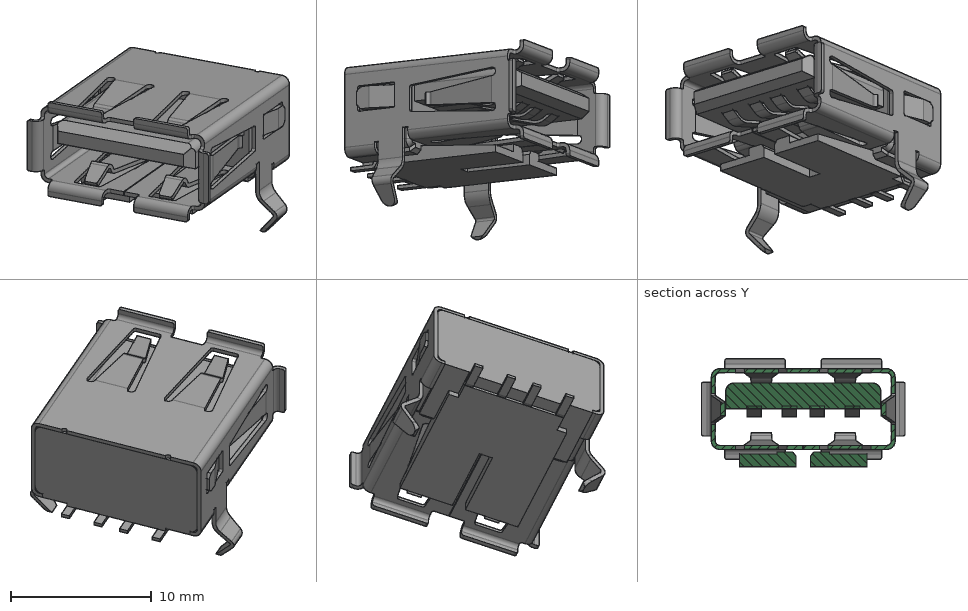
import cadquery as cq
import math

SHEET = 0.3
BEND_INNER = 0.31
BEND_OUTER = BEND_INNER + SHEET
SHELL_HALF = 6.55
SHELL_TOP = 7.0
SHELL_FRONT = 0.78
SHELL_REAR = 13.99
MOUTH_BOTTOM = 1.24
REAR_BOTTOM = 0.47
MOUTH_REAR = 8.87
MOUTH_MIDDLE = (SHELL_TOP + MOUTH_BOTTOM) / 2
SHELL_INNER_HALF = SHELL_HALF - SHEET

FLANGE_REACH = 0.7
FLANGE_CORNER = 0.17
FLANGE_GAP_HALF = 1.27
FLANGE_OUTER = 5.59
SIDE_FLANGE_WIDTH = 3.85
FLANGE_RELIEF = 0.2
FLANGE_RELIEF_CORNER = 0.19
FLOOR_SEAM = 0.06

LEG_FRONT = 9.3
LEG_REAR = 11.27
LEG_START = 1.25
REAR_CURL_FRONT = 11.57
FRONT_RELIEF_TOP = 2.09
LEG_MIDDLE = (LEG_FRONT + LEG_REAR) / 2
LEG_HALF = (LEG_REAR - LEG_FRONT) / 2
LEG_KNEE_Z = -0.53
LEG_ELBOW_X = 8.04
LEG_ELBOW_Z = -1.87
LEG_TIP_X = 6.53
LEG_TIP_Z = -3.56
LEG_TAPER_START = -0.72
LEG_TAPER_END = -3.06
LEG_TIP_HALF = 0.55
LEG_KNEE_RADIUS = 1.0
LEG_ELBOW_RADIUS = 0.15

SPRING_CORNER = 0.17
FACE_SPRING_X = 2.98
FACE_SPRING_ROOT = 7.75
FACE_SPRING_HALF = 1.25
FACE_SPRING_TAPER = 0.12
FACE_SPRING_ARM = 0.6
FACE_SLOT_LENGTH = 6.74
FACE_SPRING_BEND = (4.18, 0.36)
FACE_SPRING_PEAK = 4.55
FACE_SPRING_TIP = (6.01, 0.03)
FACE_SPRING_RADII = [0.15, 0.13]
ROOF_SPRING_DEPTH = 0.74
FLOOR_SPRING_DEPTH = 0.95
SIDE_SPRING_ROOT = 2.07
SIDE_SPRING_HALF = 0.97
SIDE_SPRING_TAPER = 0.094
SIDE_SPRING_ARM = 0.61
SIDE_SLOT_LENGTH = 6.64
SIDE_SPRING_PEAK = (5.35, 0.72)
SIDE_SPRING_TIP = (5.57, 0.5)
SIDE_SPRING_RADIUS = 0.08

WINDOW_FRONT = 9.94
WINDOW_REAR = 12.92
WINDOW_BOTTOM = 3.6
WINDOW_TOP = 5.45
WINDOW_CORNER = 0.14
ROOF_NOTCH_X = 4.0
ROOF_NOTCH_RADIUS = 0.19

BLOCK_HALF = SHELL_INNER_HALF
BLOCK_TOP = SHELL_TOP - SHEET
BLOCK_BOTTOM = REAR_BOTTOM + SHEET
BLOCK_CORNER = 0.55
BLOCK_CHAMFER = 0.31
STEP_HALF = 5.68
TONGUE_HALF = 5.53
TONGUE_BOTTOM = 4.13
TONGUE_TOP = 5.98
TONGUE_TIP = 0.49
TONGUE_NOSE = 0.88
TONGUE_CORNER = 0.63
NOSE_HALF = 5.02
NOSE_BOTTOM = 4.49
NOSE_TOP = 5.45
FOOT_HALF = 4.54
FOOT_CORE_HALF = 1.88
FOOT_FRONT = 2.84
FOOT_REAR = 11.92
FOOT_TOP = 1.07
FOOT_SIDE_FRONT_TOP = 0.52
FOOT_SLOT_HALF = 0.5
FOOT_SLOT_MOUTH_HALF = 0.75
FOOT_SLOT_MOUTH_BOTTOM = 0.77
FOOT_SLOT_REAR = 7.85
LATCH_BOTTOM = 3.72
LATCH_TOP = 5.32
LATCH_PEAK = 6.74
LATCH_ROOT = 5.97
LATCH_RAMP_FRONT = 10.11
LATCH_RAMP_REAR = 11.88
LATCH_CORNER = 0.31

CONTACT_X = [-3.5, -0.99, 0.99, 3.5]
CONTACT_WIDTH = 1.04
CONTACT_THICKNESS = 0.2
CONTACT_REAR = 9.73
CONTACT_SAG_START = 5.97
CONTACT_LOW_Y = 3.45
CONTACT_LOW_Z = 3.47
CONTACT_FRONT = 2.2
CONTACT_FRONT_Z = 4.25
CONTACT_RADII = [0.31, 1.02]
TAIL_WIDTH = 0.61
TAIL_THICKNESS = 0.25
TAIL_REAR = 15.0
TAIL_BEND_Y = 13.1
TAIL_INNER_Y = 12.48
TAIL_INNER_Z = 1.02
TAIL_BEND_RADIUS = 0.06


def block(x_range, y_range, z_range):
    """Box between two limits on each axis."""
    size = [limits[1] - limits[0] for limits in (x_range, y_range, z_range)]
    corner = (x_range[0], y_range[0], z_range[0])
    return cq.Workplane("XY").box(*size, centered=False).translate(corner)


def mirrored_pair(body):
    """A body together with its left-right mirror image."""
    return body.union(body.mirror("YZ"))


def placed(body, origin, along, normal):
    """Move a body so that its local Y points along `along` and its local Z along `normal`."""
    across = cq.Vector(*along).cross(cq.Vector(*normal))
    plane = cq.Plane(origin=origin, xDir=across, normal=normal)
    return cq.Workplane(body.val().moved(cq.Location(plane)))


def offset_path(path, distance):
    """Open path moved sideways to the left by `distance`, with mitred corners."""
    headings = [math.atan2(b[1] - a[1], b[0] - a[0]) for a, b in zip(path, path[1:])]
    moved = []
    for i, (u, v) in enumerate(path):
        before = headings[max(i - 1, 0)]
        after = headings[min(i, len(headings) - 1)]
        middle = (before + after) / 2
        reach = distance / math.cos((after - before) / 2)
        moved.append((u - reach * math.sin(middle), v + reach * math.cos(middle)))
    return moved


def bent_strip(plane, path, thickness, width, inner_radii):
    """Sheet strip centred on `plane`; thickness lies left of the path, or right if negative."""
    far_path = offset_path(path, thickness)
    strip = plane.polyline(path + far_path[::-1]).close().extrude(width / 2, both=True)
    for i, radius in enumerate(inner_radii, start=1):
        (u0, v0), (u1, v1), (u2, v2) = path[i - 1:i + 2]
        turn = (u1 - u0) * (v2 - v1) - (v1 - v0) * (u2 - u1)
        path_is_outside = turn * thickness > 0
        near_radius = radius + abs(thickness) if path_is_outside else radius
        far_radius = radius if path_is_outside else radius + abs(thickness)
        for corner, corner_radius in ((path[i], near_radius), (far_path[i], far_radius)):
            spot = plane.plane.toWorldCoords(corner).toTuple()
            strip = strip.edges(cq.selectors.NearestToPointSelector(spot)).fillet(corner_radius)
    return strip


def tube(bottom, y_start, y_end):
    """Rectangular sheet tube with rounded corners, running along Y."""
    length = y_end - y_start
    height = SHELL_TOP - bottom
    middle = (SHELL_TOP + bottom) / 2
    base = cq.Workplane("XZ", origin=(0, y_end, middle))
    outside = base.rect(2 * SHELL_HALF, height).extrude(length).edges("|Y").fillet(BEND_OUTER)
    inside = base.rect(2 * SHELL_INNER_HALF, height - 2 * SHEET).extrude(length)
    return outside.cut(inside.edges("|Y").fillet(BEND_INNER))


def spring_slot(root_half, taper, arm, length):
    """Cutter that frees a tapered spring; local Y runs from the root to the tip."""
    wide = root_half + arm
    narrow = wide - taper * length
    outline = [(-wide, 0), (-narrow, length), (narrow, length), (wide, 0)]
    depth = 2 * SHEET
    plane = cq.Workplane("XY", origin=(0, 0, -SHEET / 2))
    slot = plane.polyline(outline).close().extrude(depth)
    slot = slot.edges("|Z and >Y").fillet(SPRING_CORNER)
    arm_middle = root_half + arm / 2
    ends = plane.pushPoints([(-arm_middle, 0), (arm_middle, 0)]).circle(arm / 2).extrude(depth)
    return slot.union(ends)


def spring(root_half, taper, path, inner_radii):
    """Bent spring that leans inward along local Z and narrows toward its tip."""
    strip = bent_strip(cq.Workplane("YZ"), path, SHEET, 2 * root_half, inner_radii)
    limits = strip.val().BoundingBox()
    length = limits.ymax
    tip_half = root_half - taper * length
    outline = [(-root_half, 0), (-tip_half, length), (tip_half, length), (root_half, 0)]
    plan = cq.Workplane("XY").polyline(outline).close().extrude(limits.zmax)
    return strip.intersect(plan.edges("|Z and >Y").fillet(SPRING_CORNER))


def fit_spring(shell, slot, leaf, origin, along, inward):
    """Cut one slot in the shell and add its spring."""
    return shell.cut(placed(slot, origin, along, inward)).union(placed(leaf, origin, along, inward))


def add_face_springs(shell):
    """Two springs in the roof and two in the floor."""
    slot = spring_slot(FACE_SPRING_HALF, FACE_SPRING_TAPER, FACE_SPRING_ARM, FACE_SLOT_LENGTH)
    for z, inward, depth in ((SHELL_TOP, -1, ROOF_SPRING_DEPTH), (MOUTH_BOTTOM, 1, FLOOR_SPRING_DEPTH)):
        path = [(0, 0), FACE_SPRING_BEND, (FACE_SPRING_PEAK, depth), FACE_SPRING_TIP]
        leaf = spring(FACE_SPRING_HALF, FACE_SPRING_TAPER, path, FACE_SPRING_RADII)
        for x in (-FACE_SPRING_X, FACE_SPRING_X):
            origin = (x, FACE_SPRING_ROOT, z)
            shell = fit_spring(shell, slot, leaf, origin, (0, -1, 0), (0, 0, inward))
    return shell


def add_side_springs(shell):
    """One spring in each side wall."""
    slot = spring_slot(SIDE_SPRING_HALF, SIDE_SPRING_TAPER, SIDE_SPRING_ARM, SIDE_SLOT_LENGTH)
    path = [(0, 0), SIDE_SPRING_PEAK, SIDE_SPRING_TIP]
    leaf = spring(SIDE_SPRING_HALF, SIDE_SPRING_TAPER, path, [SIDE_SPRING_RADIUS])
    for side in (-1, 1):
        origin = (side * SHELL_HALF, SIDE_SPRING_ROOT, MOUTH_MIDDLE)
        shell = fit_spring(shell, slot, leaf, origin, (0, 1, 0), (-side, 0, 0))
    return shell


def flange(width):
    """Lip that runs forward along local Y, then turns outward along local Z."""
    path = [(0, 0), (SHELL_FRONT - SHEET, 0), (SHELL_FRONT - SHEET, FLANGE_REACH)]
    lip = bent_strip(cq.Workplane("YZ"), path, -SHEET, width, [BEND_INNER])
    return lip.faces(">Z").edges("|Y").fillet(FLANGE_CORNER)


def root_fillets(half_width):
    """Concave corner fills where the two ends of a flange row meet the shell box."""
    radius = SHELL_FRONT - BEND_OUTER
    fill = block((half_width, half_width + radius), (0, radius), (-SHEET, 0))
    round_cut = (
        cq.Workplane("XY", origin=(half_width + radius, radius, -SHEET)).circle(radius).extrude(SHEET)
    )
    return mirrored_pair(fill.cut(round_cut))


def add_flanges(shell):
    """Two flanges above and below the mouth, and one at each side."""
    forward = (0, -1, 0)
    lip = flange(FLANGE_OUTER - FLANGE_GAP_HALF)
    middle = (FLANGE_OUTER + FLANGE_GAP_HALF) / 2
    for x in (-middle, middle):
        shell = shell.union(placed(lip, (x, SHELL_FRONT, SHELL_TOP), forward, (0, 0, 1)))
        shell = shell.union(placed(lip, (x, SHELL_FRONT, MOUTH_BOTTOM), forward, (0, 0, -1)))
    fills = root_fillets(FLANGE_OUTER)
    for z, outward in ((SHELL_TOP, 1), (MOUTH_BOTTOM, -1)):
        shell = shell.union(placed(fills, (0, SHELL_FRONT, z), forward, (0, 0, outward)))
    lip = flange(SIDE_FLANGE_WIDTH).union(root_fillets(SIDE_FLANGE_WIDTH / 2))
    for side in (-1, 1):
        origin = (side * SHELL_HALF, SHELL_FRONT, MOUTH_MIDDLE)
        shell = shell.union(placed(lip, origin, forward, (side, 0, 0)))
    return shell


def leg():
    """Left snap-in leg: bent sheet with a tapered, round-ended outline."""
    path = [
        (-SHELL_HALF, LEG_START),
        (-SHELL_HALF, LEG_KNEE_Z),
        (-LEG_ELBOW_X, LEG_ELBOW_Z),
        (-LEG_TIP_X, LEG_TIP_Z),
    ]
    plane = cq.Workplane("XZ", origin=(0, LEG_MIDDLE, 0))
    strip = bent_strip(plane, path, SHEET, 2 * LEG_HALF, [LEG_KNEE_RADIUS, LEG_ELBOW_RADIUS])
    outline = (
        cq.Workplane("YZ", origin=(0, LEG_MIDDLE, 0))
        .moveTo(-LEG_HALF, LEG_START)
        .lineTo(-LEG_HALF, LEG_TAPER_START)
        .lineTo(-LEG_TIP_HALF, LEG_TAPER_END)
        .threePointArc((0, LEG_TIP_Z), (LEG_TIP_HALF, LEG_TAPER_END))
        .lineTo(LEG_HALF, LEG_TAPER_START)
        .lineTo(LEG_HALF, LEG_START)
        .close()
        .extrude(-2 * LEG_ELBOW_X)
    )
    return strip.intersect(outline)


def shell_box():
    """Plug cavity, open middle part behind it and rear part with curled lower edges."""
    across = (-SHELL_HALF, SHELL_HALF)
    cavity = tube(MOUTH_BOTTOM, SHELL_FRONT, MOUTH_REAR)
    middle = tube(-LEG_START, MOUTH_REAR, REAR_CURL_FRONT)
    middle = middle.cut(block(across, (MOUTH_REAR, REAR_CURL_FRONT), (-LEG_START, LEG_START)))
    middle = middle.cut(block(across, (MOUTH_REAR, LEG_FRONT), (LEG_START, FRONT_RELIEF_TOP)))
    rear = tube(REAR_BOTTOM, REAR_CURL_FRONT, SHELL_REAR)
    rear = rear.cut(block((-STEP_HALF, STEP_HALF), (REAR_CURL_FRONT, SHELL_REAR), (0, BLOCK_BOTTOM)))
    return cavity.union(middle).union(rear)


def shell_cutouts():
    """Flange gaps, floor seam, latch windows and small notches in the rear roof edge."""
    relief = (SHELL_FRONT, SHELL_FRONT + FLANGE_RELIEF)
    cutter = block((-FLANGE_GAP_HALF, FLANGE_GAP_HALF), relief, (0, SHELL_TOP))
    cutter = cutter.edges("|Z and >Y").fillet(FLANGE_RELIEF_CORNER)
    seam = (-FLOOR_SEAM / 2, FLOOR_SEAM / 2)
    cutter = cutter.union(block(seam, (SHELL_FRONT, MOUTH_REAR), (0, MOUTH_MIDDLE)))
    across = (-SHELL_HALF, SHELL_HALF)
    window = block(across, (WINDOW_FRONT, WINDOW_REAR), (WINDOW_BOTTOM, WINDOW_TOP))
    cutter = cutter.union(window.edges("|X").fillet(WINDOW_CORNER))
    notches = (
        cq.Workplane("XY", origin=(0, SHELL_REAR, SHELL_TOP))
        .pushPoints([(-ROOF_NOTCH_X, 0), (ROOF_NOTCH_X, 0)])
        .circle(ROOF_NOTCH_RADIUS)
        .extrude(-SHEET)
    )
    return cutter.union(notches)


def make_shell():
    shell = shell_box().cut(shell_cutouts())
    shell = add_face_springs(shell)
    shell = add_side_springs(shell)
    shell = add_flanges(shell)
    return shell.union(mirrored_pair(leg()))


def contact(x):
    """Contact strip under the tongue, bowed downward near its front end."""
    path = [
        (CONTACT_REAR, TONGUE_BOTTOM),
        (CONTACT_SAG_START, TONGUE_BOTTOM),
        (CONTACT_LOW_Y, CONTACT_LOW_Z),
        (CONTACT_FRONT, CONTACT_FRONT_Z),
    ]
    plane = cq.Workplane("YZ", origin=(x, 0, 0))
    return bent_strip(plane, path, -CONTACT_THICKNESS, CONTACT_WIDTH, CONTACT_RADII)


def tail(x):
    """Solder tail: flat on the board, then rising into the housing."""
    path = [(TAIL_REAR, 0), (TAIL_BEND_Y, 0), (TAIL_INNER_Y, TAIL_INNER_Z)]
    plane = cq.Workplane("YZ", origin=(x, 0, 0))
    return bent_strip(plane, path, -TAIL_THICKNESS, TAIL_WIDTH, [TAIL_BEND_RADIUS])


def housing_block():
    """Block that fills the rear of the shell, with a lower step and a chamfered front."""
    depth = (MOUTH_REAR, SHELL_REAR)
    main = block((-BLOCK_HALF, BLOCK_HALF), depth, (BLOCK_BOTTOM, BLOCK_TOP))
    main = main.edges("|Y").fillet(BLOCK_CORNER).faces("<Y").chamfer(BLOCK_CHAMFER)
    step = block((-STEP_HALF, STEP_HALF), depth, (REAR_BOTTOM, MOUTH_MIDDLE))
    return main.union(step.faces("<Y").chamfer(BLOCK_CHAMFER))


def tongue():
    """Tongue with rounded upper edges and a tapered nose."""
    nose_rear = TONGUE_TIP + TONGUE_NOSE
    bar = block((-TONGUE_HALF, TONGUE_HALF), (nose_rear, MOUTH_REAR), (TONGUE_BOTTOM, TONGUE_TOP))
    height = TONGUE_TOP - TONGUE_BOTTOM
    nose = (
        cq.Workplane("XZ", origin=(0, nose_rear, (TONGUE_TOP + TONGUE_BOTTOM) / 2))
        .rect(2 * TONGUE_HALF, height)
        .workplane(offset=TONGUE_NOSE)
        .center(0, (NOSE_TOP + NOSE_BOTTOM - TONGUE_TOP - TONGUE_BOTTOM) / 2)
        .rect(2 * NOSE_HALF, NOSE_TOP - NOSE_BOTTOM)
        .loft(ruled=True)
    )
    envelope = block((-TONGUE_HALF, TONGUE_HALF), (0, MOUTH_REAR), (TONGUE_BOTTOM, TONGUE_TOP))
    envelope = envelope.edges("|Y and >Z").fillet(TONGUE_CORNER)
    return bar.union(nose).intersect(envelope)


def foot():
    """Plate that rests on the board, with a slotted front and lower sloping sides."""
    core = block((-FOOT_CORE_HALF, FOOT_CORE_HALF), (FOOT_FRONT, MOUTH_REAR), (0, FOOT_TOP))
    side_outline = [
        (FOOT_FRONT, 0),
        (FOOT_FRONT, FOOT_SIDE_FRONT_TOP),
        (MOUTH_REAR, FOOT_TOP),
        (MOUTH_REAR, 0),
    ]
    sides = cq.Workplane("YZ").polyline(side_outline).close().extrude(FOOT_HALF, both=True)
    slot_outline = [
        (FOOT_SLOT_HALF, 0),
        (FOOT_SLOT_HALF, FOOT_SLOT_MOUTH_BOTTOM),
        (FOOT_SLOT_MOUTH_HALF, FOOT_TOP),
        (-FOOT_SLOT_MOUTH_HALF, FOOT_TOP),
        (-FOOT_SLOT_HALF, FOOT_SLOT_MOUTH_BOTTOM),
        (-FOOT_SLOT_HALF, 0),
    ]
    slot = (
        cq.Workplane("XZ", origin=(0, FOOT_SLOT_REAR, 0))
        .polyline(slot_outline)
        .close()
        .extrude(FOOT_SLOT_REAR - FOOT_FRONT)
    )
    under_block = block((-FOOT_HALF, FOOT_HALF), (MOUTH_REAR, FOOT_REAR), (0, FOOT_TOP))
    return core.union(sides).cut(slot).union(under_block)


def tail_base():
    """Lower rear part that carries the solder tails, raised above their flat ends."""
    half = CONTACT_X[-1] + TAIL_WIDTH / 2
    across = (-half, half)
    base = block(across, (FOOT_REAR, TAIL_BEND_Y), (0, BLOCK_BOTTOM))
    return base.union(block(across, (TAIL_BEND_Y, SHELL_REAR), (TAIL_THICKNESS, BLOCK_BOTTOM)))


def latch():
    """Left latch bump that snaps into the shell window."""
    outline = [
        (-BLOCK_HALF, LATCH_RAMP_FRONT),
        (-LATCH_PEAK, LATCH_RAMP_REAR),
        (-LATCH_PEAK, WINDOW_REAR),
        (-LATCH_ROOT, WINDOW_REAR),
        (-LATCH_ROOT, LATCH_RAMP_FRONT),
    ]
    bump = (
        cq.Workplane("XY", origin=(0, 0, LATCH_BOTTOM))
        .polyline(outline)
        .close()
        .extrude(LATCH_TOP - LATCH_BOTTOM)
    )
    return bump.edges("|X and >Y").chamfer(LATCH_CORNER)


def make_housing(inserts):
    housing = housing_block().union(tongue()).union(foot()).union(tail_base())
    housing = housing.union(mirrored_pair(latch()))
    for insert in inserts:
        housing = housing.cut(insert)
    return housing


shell = make_shell()
contacts = [contact(x) for x in CONTACT_X]
tails = [tail(x) for x in CONTACT_X]
housing = make_housing(contacts + tails)

bodies = [shell, housing] + contacts + tails
result = cq.Compound.makeCompound([solid for body in bodies for solid in body.solids().vals()])